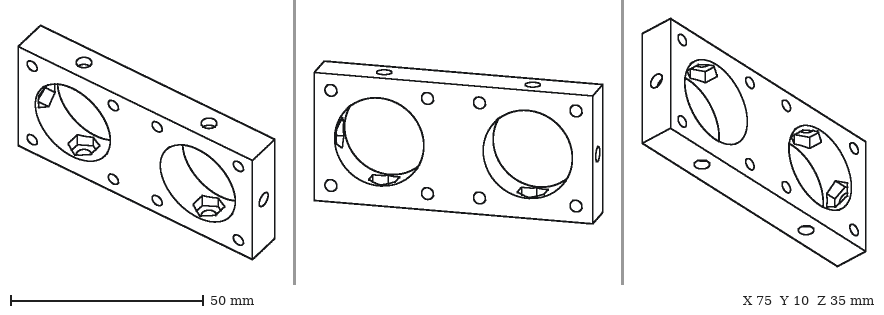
import cadquery as cq

LENGTH = 75.0
THICKNESS = 10.0
HEIGHT = 35.0

BORE_DIAMETER = 24.0
BORE_INSET = HEIGHT / 2
BORE_OFFSET = LENGTH / 2 - BORE_INSET

MOUNT_DIAMETER = 3.2
MOUNT_SPACING = 26.0

SCREW_DIAMETER = 4.0
NUT_ACROSS_CORNERS = 8.3
NUT_SEAT_RADIUS = 15.0

UP = cq.Vector(0, 0, 1)
DOWN = cq.Vector(0, 0, -1)
LEFT = cq.Vector(-1, 0, 0)
RIGHT = cq.Vector(1, 0, 0)
ALONG_BORE = cq.Vector(0, 1, 0)


def make_plate():
    """Plain rectangular plate centred on the origin."""
    return cq.Workplane("XY").box(LENGTH, THICKNESS, HEIGHT)


def through_holes(bore_x):
    """One bore and its four mounting holes, running along Y."""
    face = cq.Workplane("XZ").center(bore_x, 0)
    bore = face.circle(BORE_DIAMETER / 2).extrude(THICKNESS / 2, both=True)
    mounts = (
        face.rect(MOUNT_SPACING, MOUNT_SPACING, forConstruction=True)
        .vertices()
        .circle(MOUNT_DIAMETER / 2)
        .extrude(THICKNESS / 2, both=True)
    )
    return bore.union(mounts)


def clamp_screw(bore_x, direction, corner_axis):
    """Screw hole and hexagonal nut pocket, both cut outward from a bore axis."""
    plane = cq.Plane(origin=(bore_x, 0, 0), xDir=corner_axis, normal=direction)
    hole = cq.Workplane(plane).circle(SCREW_DIAMETER / 2).extrude(BORE_INSET)
    nut = cq.Workplane(plane).polygon(6, NUT_ACROSS_CORNERS).extrude(NUT_SEAT_RADIUS)
    return hole.union(nut)


result = make_plate()
for bore_x, outward in ((-BORE_OFFSET, LEFT), (BORE_OFFSET, RIGHT)):
    result = result.cut(through_holes(bore_x))
    result = result.cut(clamp_screw(bore_x, UP, ALONG_BORE))
    result = result.cut(clamp_screw(bore_x, DOWN, ALONG_BORE))
    result = result.cut(clamp_screw(bore_x, outward, UP))